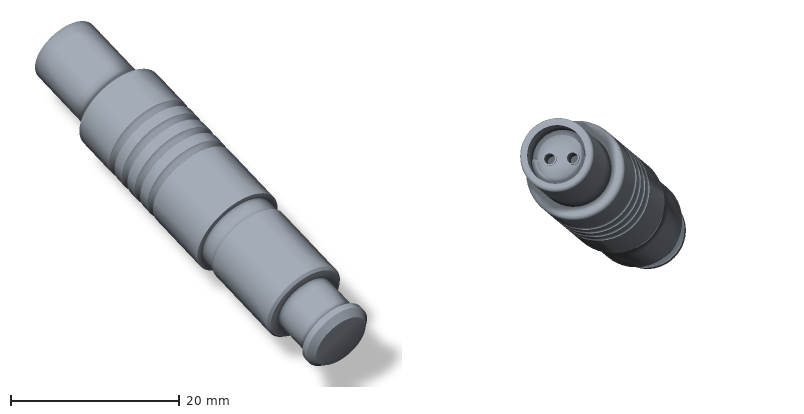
import cadquery as cq

LENGTH = 54.5
BODY_START = 10.7
BODY_END = 34.15
SLEEVE_START = 36.45
SLEEVE_END = 47.45
FLANGE_START = 52.85

NOSE_RADIUS = 4.45
BODY_RADIUS = 6.0
NECK_RADIUS = 5.25
SLEEVE_RADIUS = 5.45
TAIL_RADIUS = 3.9
FLANGE_RADIUS = 4.5

NOSE_FILLET = 0.45
BODY_FILLET = 0.5
SLEEVE_CHAMFER = 0.3
FLANGE_CHAMFER = 0.8

GROOVE_COUNT = 4
FIRST_GROOVE = 17.4
GROOVE_PITCH = 2.5
GROOVE_WIDTH = 1.1
GROOVE_DEPTH = 0.3

SOCKET_RADIUS = 3.55
SOCKET_DEPTH = 3.25
CORE_RADIUS = 2.9
CORE_HEIGHT = 0.4
HALF_RING_HEIGHT = 0.55
CONTACT_OFFSET = 1.39
CONTACT_RADIUS = 0.8
CONTACT_BORE_RADIUS = 0.65
CONTACT_HEIGHT = 0.15
CONTACT_BORE_DEPTH = 2.2


def cylinder(start, end, radius):
    """Cylinder centred on the X axis between two stations."""
    return cq.Workplane("YZ", origin=(start, 0, 0)).circle(radius).extrude(end - start)


def groove_cutter(center):
    """Ring with an arc-shaped section that cuts one grip groove."""
    half_width = GROOVE_WIDTH / 2
    return (
        cq.Workplane("XY")
        .moveTo(center - half_width, BODY_RADIUS)
        .threePointArc((center, BODY_RADIUS - GROOVE_DEPTH), (center + half_width, BODY_RADIUS))
        .lineTo(center + half_width, BODY_RADIUS + GROOVE_DEPTH)
        .lineTo(center - half_width, BODY_RADIUS + GROOVE_DEPTH)
        .close()
        .revolve(360, (0, 0, 0), (1, 0, 0))
    )


def make_body():
    body = cylinder(BODY_START, BODY_END, BODY_RADIUS).faces("<X").edges().fillet(BODY_FILLET)
    for index in range(GROOVE_COUNT):
        body = body.cut(groove_cutter(FIRST_GROOVE + index * GROOVE_PITCH))
    return body


def make_half_ring():
    """Lower half of a ring standing on the socket floor around the core."""
    start = SOCKET_DEPTH - HALF_RING_HEIGHT
    ring = cylinder(start, SOCKET_DEPTH, SOCKET_RADIUS).cut(cylinder(start, SOCKET_DEPTH, CORE_RADIUS))
    upper_half = cq.Workplane("XY").box(
        LENGTH, 2 * BODY_RADIUS, BODY_RADIUS, centered=(False, True, False)
    )
    return ring.cut(upper_half)


def contact_cylinders(start, end, radius):
    """Equal cylinders on the axes of both contacts."""
    return (
        cq.Workplane("YZ", origin=(start, 0, 0))
        .pushPoints([(-CONTACT_OFFSET, 0), (CONTACT_OFFSET, 0)])
        .circle(radius)
        .extrude(end - start)
    )


def add_socket(shell):
    """Hollow out the socket and fit its core, half ring and bored contacts."""
    core_face = SOCKET_DEPTH - CORE_HEIGHT
    contact_face = core_face - CONTACT_HEIGHT
    bore_end = contact_face + CONTACT_BORE_DEPTH
    return (
        shell.cut(cylinder(0, SOCKET_DEPTH, SOCKET_RADIUS))
        .union(cylinder(core_face, SOCKET_DEPTH, CORE_RADIUS))
        .union(make_half_ring())
        .union(contact_cylinders(contact_face, SOCKET_DEPTH, CONTACT_RADIUS))
        .cut(contact_cylinders(contact_face, bore_end, CONTACT_BORE_RADIUS))
    )


nose = cylinder(0, BODY_START, NOSE_RADIUS).faces("<X").edges().fillet(NOSE_FILLET)
neck = cylinder(BODY_END, SLEEVE_START, NECK_RADIUS)
sleeve = cylinder(SLEEVE_START, SLEEVE_END, SLEEVE_RADIUS).faces(">X").chamfer(SLEEVE_CHAMFER)
tail = cylinder(SLEEVE_END, FLANGE_START, TAIL_RADIUS)
flange = cylinder(FLANGE_START, LENGTH, FLANGE_RADIUS).faces(">X").chamfer(FLANGE_CHAMFER)

shell = nose.union(make_body()).union(neck).union(sleeve).union(tail).union(flange)
result = add_socket(shell)